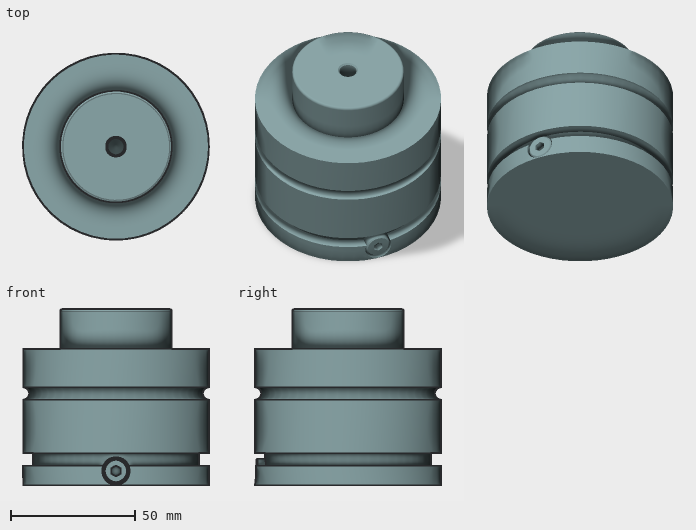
import cadquery as cq
import math

body_diameter = 75.0
body_radius = body_diameter / 2
neck_radius = 67.0 / 2
spigot_radius = 45.0 / 2
flange_top = 7.95
neck_top = 13.0
shoulder_height = 55.0
total_height = 71.0
spigot_edge_radius = 1.0

groove_radius = 2.5
groove_height = 37.0

hole_diameter = 6.8
hole_mouth_diameter = 8.0
hole_depth = 20.0
drill_point_angle = 118.0

screw_diameter = 10.0
screw_edge_chamfer = 0.5
screw_bore_diameter = 11.0
screw_bore_floor_distance = 27.0
screw_height = 5.8
screw_face_distance = 37.0
hex_across_flats = 3.75
hex_depth = 3.0


def make_body():
    """Revolve the stepped outline and cut the half-round groove."""
    outline = (
        cq.Workplane("XZ")
        .moveTo(0, 0)
        .lineTo(body_radius, 0)
        .lineTo(body_radius, flange_top)
        .lineTo(neck_radius, flange_top)
        .lineTo(neck_radius, neck_top)
        .lineTo(body_radius, neck_top)
        .lineTo(body_radius, groove_height - groove_radius)
        .threePointArc(
            (body_radius - groove_radius, groove_height),
            (body_radius, groove_height + groove_radius),
        )
        .lineTo(body_radius, shoulder_height)
        .lineTo(spigot_radius, shoulder_height)
        .lineTo(spigot_radius, total_height)
        .lineTo(0, total_height)
        .close()
    )
    body = outline.revolve(360, (0, 0, 0), (0, 1, 0))
    return body.faces(">Z").edges().fillet(spigot_edge_radius)


def make_centre_hole():
    """Drilled hole with a 45 degree countersink and a conical bottom."""
    radius = hole_diameter / 2
    mouth_radius = hole_mouth_diameter / 2
    countersink_depth = mouth_radius - radius
    floor_height = total_height - hole_depth
    point_depth = radius / math.tan(math.radians(drill_point_angle / 2))
    return (
        cq.Workplane("XZ")
        .moveTo(0, floor_height - point_depth)
        .lineTo(radius, floor_height)
        .lineTo(radius, total_height - countersink_depth)
        .lineTo(mouth_radius, total_height)
        .lineTo(0, total_height)
        .close()
        .revolve(360, (0, 0, 0), (0, 1, 0))
    )


def screw_plane(distance):
    """Plane facing -Y, centred on the screw axis at a distance from the body axis."""
    return cq.Workplane("XZ", origin=(0, -distance, screw_height))


def make_screw():
    """Chamfered screw head with a hexagonal socket."""
    head = (
        screw_plane(screw_bore_floor_distance)
        .circle(screw_diameter / 2)
        .extrude(screw_face_distance - screw_bore_floor_distance)
        .faces("<Y")
        .chamfer(screw_edge_chamfer)
    )
    hex_across_corners = hex_across_flats / math.cos(math.pi / 6)
    socket = (
        screw_plane(screw_face_distance - hex_depth)
        .transformed(rotate=(0, 0, 90))
        .polygon(6, hex_across_corners)
        .extrude(hex_depth)
    )
    return head, socket


def make_screw_bore():
    """Counterbore that leaves a thin annular gap around the screw head."""
    return (
        screw_plane(screw_bore_floor_distance)
        .circle(screw_bore_diameter / 2)
        .extrude(body_radius - screw_bore_floor_distance)
    )


screw_head, hex_socket = make_screw()
result = (
    make_body()
    .cut(make_centre_hole())
    .cut(make_screw_bore())
    .union(screw_head)
    .cut(hex_socket)
)